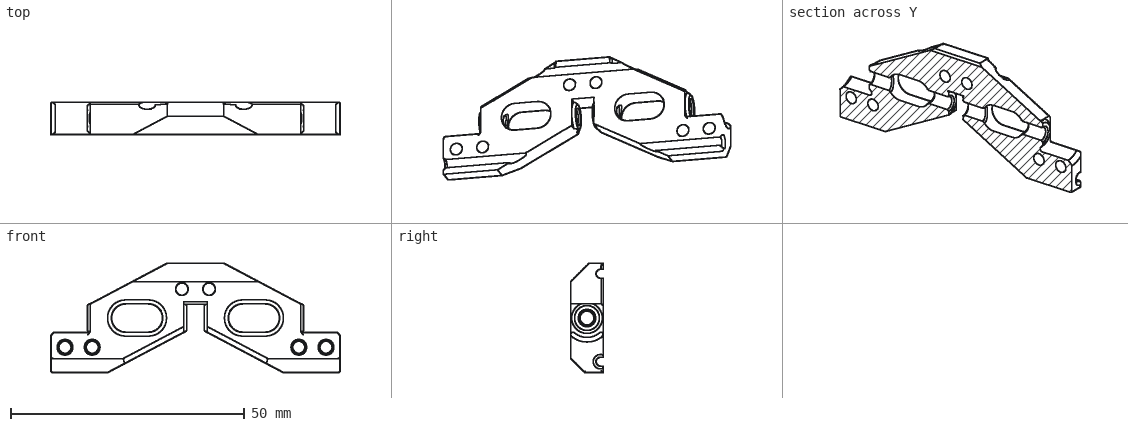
import cadquery as cq
import math

length = 62.0
thickness = 7.0
height = 23.5
front = -thickness / 2
back = thickness / 2
end = length / 2

top_half = 6.0
wall_x = 22.55
foot_inner_x = 18.85
gap_half = 2.5
gap_top = 14.65
gap_bevel = 0.55
wall_top = 14.75
slope = (height - wall_top) / (wall_x - top_half)
slant_angle = math.atan(slope)
gap_foot = slope * (foot_inner_x - gap_half)

top_bevel = 3.95
foot_bevel = 3.05
vee_bevel = 1.1
back_bevel = 0.45

axis_z = 11.7
bore_radius = 1.5
bore_sink = 0.4
seat_radius = 3.3
seat_height = 0.6

trough_radius = 4.15
round_radius = 0.5
trough_flare = 1.0

window_x = 12.5
window_length = 10.9
window_width = 6.0
window_bevel = 0.85
window_bore_bevel = 0.3

arm_hole_z = 5.45
arm_hole_xs = (22.15, 27.95)
arm_hole_radius = 1.3
arm_hole_sink = 0.4
top_hole_x = 2.9
top_hole_z = 17.9
top_hole_radius = 1.3

groove_radius = 0.9
groove_offset = 0.6
groove_sink = 0.6
low_groove_z = 2.35
high_groove_z = 21.2

overrun = 3.1
pick_margin = 0.6


def both_sides(shape):
    """The shape together with its mirror image across the YZ plane."""
    return shape.union(shape.mirror("YZ"))


def prism_y(points):
    """XZ outline extruded through the whole thickness."""
    return cq.Workplane("XZ", origin=(0, back, 0)).polyline(points).close().extrude(thickness)


def prism_x(points, x_start, x_end):
    """YZ outline extruded from x_start to x_end."""
    return cq.Workplane("YZ", origin=(x_start, 0, 0)).polyline(points).close().extrude(x_end - x_start)


def cone_x(x_start, radius_start, x_end, radius_end):
    """Cone frustum on the bore axis."""
    run = x_end - x_start
    solid = cq.Solid.makeCone(radius_start, radius_end, run, cq.Vector(x_start, 0, axis_z), cq.Vector(1, 0, 0))
    return cq.Workplane(solid)


def cylinder_y(x, z, radius):
    return cq.Workplane("XZ", origin=(x, back, z)).circle(radius).extrude(thickness)


def arch_body():
    """Left and right halves of the arch, reaching up to the slants over the full length."""
    right = [
        (0, gap_top), (gap_half, gap_top), (gap_half, gap_foot), (foot_inner_x, 0), (end, 0),
        (end, wall_top), (wall_x, wall_top), (top_half, height), (0, height),
    ]
    return both_sides(prism_y(right))


def corner_wedge(size):
    """Triangle cutting a 45 degree bevel off the corner at the origin, material towards -x and +y."""
    return [(-2 * size, -size), (size, 2 * size), (size, -size)]


def slant_bevel(x, y, z, run, outward, size):
    """Bevel along an edge that falls with the slant towards +X, starting at (x, y, z).

    outward is 1 for an upper edge on the back face and -1 for a lower edge on the front face.
    """
    plane = cq.Plane(
        origin=(x, y, z),
        xDir=(outward * math.sin(slant_angle), 0, outward * math.cos(slant_angle)),
        normal=(math.cos(slant_angle), 0, -math.sin(slant_angle)),
    )
    wedge = cq.Workplane(plane).polyline(corner_wedge(size)).close()
    return wedge.extrude(run / math.cos(slant_angle))


def front_bevel(z, half_length, outward, size):
    """Bevel along a level front edge; outward is 1 for an upper edge and -1 for a lower edge."""
    points = [(front + v, z + outward * u) for u, v in corner_wedge(size)]
    return prism_x(points, -half_length, half_length)


def bevel_cuts():
    vee_peak = slope * foot_inner_x
    back_edge = slant_bevel(top_half, back, height, wall_x - top_half + overrun, 1, back_bevel)
    front_edge = slant_bevel(0, front, vee_peak, foot_inner_x, -1, vee_bevel)
    cuts = both_sides(back_edge.union(front_edge))
    cuts = cuts.union(front_bevel(height, end, 1, top_bevel))
    cuts = cuts.union(front_bevel(gap_top, gap_half, -1, gap_bevel))
    return cuts.union(front_bevel(0, end, -1, foot_bevel))


def arm_cut():
    """Clears the space above the right arm down to the trough, rounded along its rims and at the step."""
    rim_y = back - round_radius
    reach = trough_radius + round_radius
    rim_z = axis_z - math.sqrt(reach**2 - rim_y**2)
    touch = trough_radius / reach
    touch_y = rim_y * touch
    touch_z = axis_z + (rim_z - axis_z) * touch
    lean = math.atan2(axis_z - rim_z, -rim_y) / 2
    mid_y = rim_y + round_radius * math.cos(lean)
    mid_z = rim_z + round_radius * math.sin(lean)
    ceiling = height + overrun
    profile = (
        cq.Workplane("YZ", origin=(wall_x, 0, 0))
        .moveTo(-back, ceiling)
        .lineTo(-back, rim_z)
        .threePointArc((-mid_y, mid_z), (-touch_y, touch_z))
        .threePointArc((0, axis_z - trough_radius), (touch_y, touch_z))
        .threePointArc((mid_y, mid_z), (back, rim_z))
        .lineTo(back, ceiling)
        .close()
    )
    cut = profile.extrude(end - wall_x + overrun)
    cut = cut.faces("<X").edges("%CIRCLE").fillet(round_radius)
    return cut.union(cone_x(end - trough_flare, trough_radius, end, trough_radius + trough_flare))


def seats():
    """Conical seats on the step wall and on the gap wall, trimmed to the arch outline."""
    outer = cone_x(wall_x, seat_radius, wall_x + seat_height, seat_radius - seat_height)
    inner = cone_x(gap_half - seat_height, seat_radius - seat_height, gap_half, seat_radius)
    limits = prism_y([
        (0, wall_top),
        (end, wall_top),
        (end, 0),
        (foot_inner_x, 0),
        (0, slope * foot_inner_x),
    ])
    return both_sides(outer.union(inner).intersect(limits))


def bore_cut():
    bore = cq.Workplane("YZ", origin=(-end, 0, axis_z)).circle(bore_radius).extrude(length)
    outer_face = wall_x + seat_height
    inner_face = gap_half - seat_height
    outer = cone_x(outer_face - bore_sink, bore_radius, outer_face, bore_radius + bore_sink)
    inner = cone_x(inner_face, bore_radius + bore_sink, inner_face + bore_sink, bore_radius)
    return bore.union(both_sides(outer.union(inner)))


def window_cut():
    def mouth(size):
        plane = cq.Workplane("XZ", origin=(window_x, front, axis_z))
        return plane.slot2D(window_length + 2 * size, window_width + 2 * size)

    through = mouth(0).extrude(-thickness)
    return through.union(mouth(window_bevel).extrude(-window_bevel, taper=45))


def hole_cuts():
    cuts = cylinder_y(top_hole_x, top_hole_z, top_hole_radius)
    for x in arm_hole_xs:
        sink = cq.Solid.makeCone(
            arm_hole_radius + arm_hole_sink, arm_hole_radius, arm_hole_sink,
            cq.Vector(x, front, arm_hole_z), cq.Vector(0, 1, 0),
        )
        cuts = cuts.union(cylinder_y(x, arm_hole_z, arm_hole_radius)).union(cq.Workplane(sink))
    return cuts


def groove_profile(x, z, radius):
    """U outline with a round bottom, open past the back face."""
    centre_y = back - groove_offset
    return (
        cq.Workplane("YZ", origin=(x, 0, z))
        .moveTo(back + overrun, radius)
        .lineTo(centre_y, radius)
        .threePointArc((centre_y - radius, 0), (centre_y, -radius))
        .lineTo(back + overrun, -radius)
        .close()
    )


def groove_cuts():
    cuts = groove_profile(-end, high_groove_z, groove_radius).extrude(length)
    cuts = cuts.union(groove_profile(-end, low_groove_z, groove_radius).extrude(length))
    sink = groove_profile(end, low_groove_z, groove_radius + groove_sink).extrude(-groove_sink, taper=45)
    return cuts.union(both_sides(sink))


def lip_cut():
    """Tapered relief on the back of the thin lip above the high groove, deepest at the lip tip."""
    lip_z = high_groove_z + groove_radius
    tip_x = top_half + (height - lip_z) / slope
    outline = [
        (top_half, back),
        (tip_x, back),
        (tip_x, back - groove_offset),
        (top_half + back_bevel, back - back_bevel),
    ]
    return cq.Workplane("XY", origin=(0, 0, high_groove_z)).polyline(outline).close().extrude(height)


def round_ends(body):
    """Rounds each end face along its bottom, its front bevel and its back edge."""
    edges = body.faces("<X or >X").edges("(not |Z) or >Y").edges("not >Z")
    return edges.fillet(round_radius)


def bevel_window_bores(body):
    """Bevels the edges where the bore breaks into the round window ends."""
    edges = []
    for side in (-1, 1):
        for window_end in (-1, 1):
            x = side * window_x + window_end * window_length / 2
            low = (x - pick_margin, -pick_margin, axis_z - pick_margin)
            high = (x + pick_margin, pick_margin, axis_z + pick_margin)
            edges += body.edges(cq.selectors.BoxSelector(low, high)).vals()
    return body.newObject(edges).chamfer(window_bore_bevel)


body = round_ends(arch_body().cut(bevel_cuts()))
body = body.cut(both_sides(arm_cut()))
body = body.union(seats())
body = body.cut(both_sides(window_cut()))
body = bevel_window_bores(body.cut(bore_cut()))
body = body.cut(both_sides(hole_cuts()))
body = body.cut(groove_cuts())
result = body.cut(both_sides(lip_cut()))